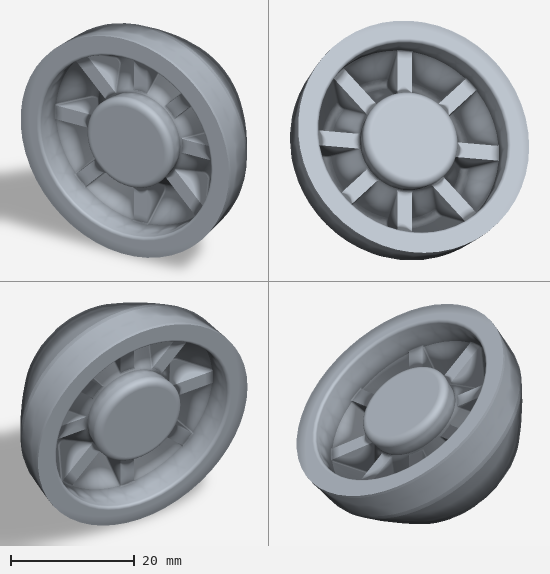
import cadquery as cq
import math

rim_radius = 19.5
rim_land = 0.5
total_depth = 18.0
skirt_depth = 6.63
skirt_radius = 18.95
back_radius = 11.45
shoulder_curvature_radius = 70.2
skirt_rounding = 2.65
back_rounding = 2.9

mouth_radius = 16.0
mouth_rounding = 0.5
cavity_cone_angle = 33.6
wall_end_radius = 15.95
wall_end_depth = 5.23
cavity_depth = 11.55
groove_rounding = 0.98

hub_radius = 8.1
hub_recess = 0.85
hub_rounding = 1.15
neck_radius = 7.65
neck_depth = 4.68

rib_count = 8
rib_width = 2.5
rib_depth = 5.0
rib_rounding = 0.25

match_tolerance = 0.005

cavity_slope = math.tan(math.radians(cavity_cone_angle))


def revolve_profile(points):
    """Turn (radius, depth) points about the Y axis."""
    return cq.Workplane("XY").polyline(points).close().revolve(360, (0, 0, 0), (0, 1, 0))


def ring_edges(solid, radius, depth):
    """Full circles of the given radius and depth around the Y axis."""
    return solid.edges("%CIRCLE").filter(
        lambda edge: abs(edge.radius() - radius) < match_tolerance
        and abs(edge.Center().y - depth) < match_tolerance
    )


def make_cup():
    """Solid outer body of the cup."""
    profile = (
        cq.Workplane("XY")
        .lineTo(rim_radius, 0)
        .lineTo(rim_radius, rim_land)
        .lineTo(skirt_radius, skirt_depth)
        .radiusArc((back_radius, total_depth), -shoulder_curvature_radius)
        .lineTo(0, total_depth)
        .close()
    )
    cup = profile.revolve(360, (0, 0, 0), (0, 1, 0))
    cup = ring_edges(cup, skirt_radius, skirt_depth).fillet(skirt_rounding)
    return ring_edges(cup, back_radius, total_depth).fillet(back_rounding)


def make_cavity():
    """Space to remove around the hub, groove included."""
    groove_radius = wall_end_radius - (cavity_depth - wall_end_depth) * cavity_slope
    cavity = revolve_profile([
        (0, 0),
        (mouth_radius, 0),
        (wall_end_radius, wall_end_depth),
        (groove_radius, cavity_depth),
        (neck_radius, neck_depth),
        (hub_radius, hub_recess),
        (0, hub_recess),
    ])
    cavity = ring_edges(cavity, groove_radius, cavity_depth).fillet(groove_rounding)
    return ring_edges(cavity, hub_radius, hub_recess).fillet(hub_rounding)


def make_ribs():
    """Bars from the axis past the cavity wall, running from the rib faces inward."""
    ribs = cq.Workplane("XY")
    for index in range(rib_count):
        rib = cq.Workplane("XY").box(rim_radius, total_depth, rib_width, centered=(False, False, True))
        rib = rib.translate((0, rib_depth, 0))
        ribs = ribs.union(rib.rotate((0, 0, 0), (0, 1, 0), index * 360 / rib_count))
    return ribs


def is_rib_root(edge):
    """True where a rib meets the cavity wall, groove or hub."""
    center = edge.Center()
    pitch = 2 * math.pi / rib_count
    angle = math.atan2(center.z, center.x)
    angle -= pitch * round(angle / pitch)
    offset = abs(math.hypot(center.x, center.z) * math.sin(angle))
    on_side = abs(offset - rib_width / 2) < match_tolerance
    on_axis = offset < match_tolerance
    at_face_depth = abs(center.y - rib_depth) < match_tolerance
    return on_axis if at_face_depth else on_side


pocket = make_cavity().cut(make_ribs())
pocket = pocket.edges().filter(is_rib_root).fillet(rib_rounding)
result = make_cup().cut(pocket)
result = ring_edges(result, mouth_radius, 0).fillet(mouth_rounding)